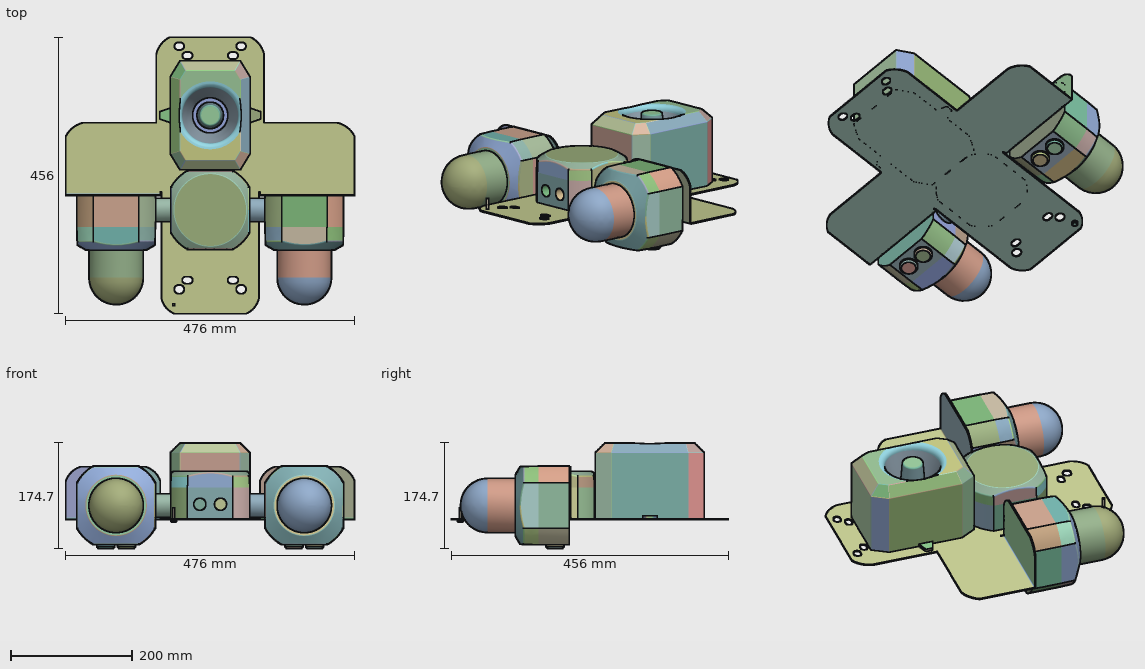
import cadquery as cq
import math


sheet = 2.0
plate_top_y = 285.0
plate_bottom_y = -171.0
upper_width = 178.0
lower_width = 161.0
wing_span = 476.0
wing_top_y = 144.0
corner_bulge = 4.0
upper_corner = (22.5, 28.0)
lower_corner = (21.5, 25.5)
wing_corner = (28.5, 22.5)
flange_corner = (24.5, 23.5)
flange_face_y = 23.5
flange_top_z = 87.5
bend_outer_radius = 3.5
bend_inner_radius = bend_outer_radius - sheet
relief_width = 1.5
relief_end_y = 30.0

mounting_slots = [
    (51.0, 270.0, 15.5, 12.0),
    (37.5, 254.5, 16.5, 11.0),
    (37.5, -115.5, 17.0, 11.0),
    (51.0, -130.5, 16.0, 14.0),
]

box_width = 130.0
box_corner_radius = 75.0
box_base_height = 51.0
lid_draft_inset = 1.0
lid_slope = math.tan(math.radians(30))
lid_edge_round = 3.0
junction_height = 78.0
junction_face_radius = 60.0
lamp_box_height = 89.5
lamp_face_radius = 50.0

entry_height = 23.5
entry_offset = 17.0
entry_diameter = 20.0
entry_depth = 20.0
gland_radius = 15.0
gland_tip_radius = 12.0
gland_rim = 3.0

lamp_x = 155.0
lamp_z = 23.5
dome_radius = 45.0
dome_neck = 45.0
tube_diameter = 39.0

horn_y = 156.0
horn_width = 131.5
horn_length = 180.0
horn_top_z = 126.5
horn_corner_x = 16.0
horn_corner_y = 26.5
horn_bevel = 16.0
horn_edge_round = 2.0
mouth_radius = 56.0
mouth_round = 10.0
throat_radius = 29.0
mouth_depth = 70.0
post_tip_radius = 17.2
post_root_radius = 22.0
post_round = 2.5
post_recess = 1.5
tab_reach = 83.5
tab_half_width = 12.0
tab_tip_half_width = 6.0
tab_tip_round = 3.0
tab_thickness = 4.5

screw_x = -60.0
screw_y = -156.0
screw_diameter = 4.0
screw_tip_z = 19.5
screw_head_diameter = 10.0
screw_head_height = 4.0
screw_head_chamfer = 1.5

total_height = 174.7
gland_height = total_height - horn_top_z - (box_width / 2 - lamp_z)


def corner_middle(start, end, bulge):
    """Middle of a corner arc that bulges to the left of the line from start to end."""
    run_x = end[0] - start[0]
    run_y = end[1] - start[1]
    chord = math.hypot(run_x, run_y)
    middle_x = (start[0] + end[0]) / 2 - run_y / chord * bulge
    middle_y = (start[1] + end[1]) / 2 + run_x / chord * bulge
    return (middle_x, middle_y)


def rounded_panel(width, bottom, top, corner, round_top):
    """Flat panel centred on X = 0 with two arc corners at its top or bottom end."""
    half = width / 2
    run_x, run_y = corner
    round_end, square_end = (top, bottom) if round_top else (bottom, top)
    inward = -1 if round_top else 1
    right_start = (half, round_end + inward * run_y)
    right_end = (half - run_x, round_end)
    left_start = (-right_end[0], right_end[1])
    left_end = (-right_start[0], right_start[1])
    bulge = corner_bulge * inward
    return (
        cq.Workplane("XY")
        .moveTo(half, square_end)
        .lineTo(*right_start)
        .threePointArc(corner_middle(right_start, right_end, bulge), right_end)
        .lineTo(*left_start)
        .threePointArc(corner_middle(left_start, left_end, bulge), left_end)
        .lineTo(-half, square_end)
        .close()
        .extrude(sheet)
    )


def make_plate():
    """Cross-shaped sheet with arc corners, slots and bend relief slits."""
    bend_y = flange_face_y + bend_outer_radius
    upper = rounded_panel(upper_width, bend_y, plate_top_y, upper_corner, True)
    lower = rounded_panel(lower_width, plate_bottom_y, wing_top_y, lower_corner, False)
    wings = rounded_panel(wing_span, bend_y, wing_top_y, wing_corner, True)
    plate = upper.union(lower).union(wings)
    for side in (-1, 1):
        slit = (
            cq.Workplane("XY")
            .box(relief_width, relief_end_y - flange_face_y, sheet, centered=(True, False, False))
            .translate((side * (lower_width + relief_width) / 2, flange_face_y, 0))
        )
        plate = plate.cut(slit)
        for half_spacing, y, length, width in mounting_slots:
            slot = cq.Workplane("XY").center(side * half_spacing, y).slot2D(length, width).extrude(sheet)
            plate = plate.cut(slot)
    return plate


def make_flange():
    """Right-hand upright flange with its bend."""
    inner_x = lower_width / 2 + relief_width
    length = wing_span / 2 - inner_x
    bend_y = flange_face_y + bend_outer_radius
    upright = (
        rounded_panel(length, bend_outer_radius, flange_top_z, flange_corner, True)
        .rotate((0, 0, 0), (1, 0, 0), 90)
        .translate((inner_x + length / 2, flange_face_y + sheet, 0))
    )
    diagonal = math.sqrt(0.5)
    outer_mid = (bend_y - bend_outer_radius * diagonal, bend_outer_radius * (1 - diagonal))
    inner_mid = (bend_y - bend_inner_radius * diagonal, bend_outer_radius - bend_inner_radius * diagonal)
    bend = (
        cq.Workplane("YZ")
        .moveTo(bend_y, 0)
        .threePointArc(outer_mid, (flange_face_y, bend_outer_radius))
        .lineTo(flange_face_y + sheet, bend_outer_radius)
        .threePointArc(inner_mid, (bend_y, sheet))
        .close()
        .extrude(length)
        .translate((inner_x, 0, 0))
    )
    return upright.union(bend)


def make_enclosure(height, face_radius):
    """Square box with round-cut corners on Z = 0, under a drafted, conical-topped lid."""
    base = (
        cq.Workplane("XY")
        .rect(box_width, box_width)
        .extrude(box_base_height)
        .intersect(cq.Workplane("XY").circle(box_corner_radius).extrude(box_base_height))
    )
    lid_height = height - box_base_height
    draft_slope = lid_draft_inset / lid_height
    cone_rise = box_corner_radius - lid_draft_inset - face_radius
    shoulder_drop = cone_rise * lid_slope / (1 - draft_slope * lid_slope)
    shoulder_radius = face_radius + shoulder_drop / lid_slope
    shoulder_z = height - shoulder_drop
    envelope = (
        cq.Workplane("XZ")
        .moveTo(0, box_base_height)
        .lineTo(box_corner_radius, box_base_height)
        .lineTo(shoulder_radius, shoulder_z)
        .lineTo(face_radius, height)
        .lineTo(0, height)
        .close()
        .revolve(360, (0, 0, 0), (0, 1, 0))
    )
    lid = (
        cq.Workplane("XY", origin=(0, 0, box_base_height))
        .rect(box_width, box_width)
        .extrude(lid_height, taper=math.degrees(math.atan(draft_slope)))
        .intersect(envelope)
    )
    middle_z = (box_base_height + shoulder_z) / 2
    cone_borders = lid.edges("not %LINE").filter(lambda edge: edge.BoundingBox().zmin > middle_z)
    return base.union(cone_borders.fillet(lid_edge_round))


def make_junction_box():
    """Central enclosure with two cable entries in its front wall."""
    box = make_enclosure(junction_height, junction_face_radius)
    for side in (-1, 1):
        entry = (
            cq.Workplane("XZ", origin=(side * entry_offset, -box_width / 2, entry_height))
            .circle(entry_diameter / 2)
            .extrude(-entry_depth)
        )
        box = box.cut(entry)
    return box.translate((0, 0, sheet))


def make_gland():
    """Cable plug hanging down from Z = 0."""
    return (
        cq.Workplane("XZ")
        .lineTo(gland_radius, 0)
        .lineTo(gland_radius, -gland_rim)
        .lineTo(gland_tip_radius, -gland_height)
        .lineTo(0, -gland_height)
        .close()
        .revolve(360, (0, 0, 0), (0, 1, 0))
    )


def make_lamp():
    """Enclosure facing -Y with a domed lamp on its lid and plugs underneath."""
    dome_start = lamp_box_height + dome_neck
    dome_mid = (dome_radius * math.sqrt(0.5), dome_start + dome_radius * math.sqrt(0.5))
    dome = (
        cq.Workplane("XZ")
        .moveTo(0, lamp_box_height)
        .lineTo(dome_radius, lamp_box_height)
        .lineTo(dome_radius, dome_start)
        .threePointArc(dome_mid, (0, dome_start + dome_radius))
        .close()
        .revolve(360, (0, 0, 0), (0, 1, 0))
    )
    lamp = make_enclosure(lamp_box_height, lamp_face_radius).union(dome)
    lamp = lamp.rotate((0, 0, 0), (1, 0, 0), 90)
    for side in (-1, 1):
        gland_place = (side * entry_offset, -entry_height, -box_width / 2)
        lamp = lamp.union(make_gland().translate(gland_place))
    return lamp.translate((0, flange_face_y, lamp_z))


def make_tube():
    """Tube joining the two lamp enclosures through the junction box."""
    length = 2 * lamp_x - box_width
    return (
        cq.Workplane("YZ", origin=(-length / 2, flange_face_y - entry_height, lamp_z))
        .circle(tube_diameter / 2)
        .extrude(length)
    )


def make_horn_body():
    """Bevelled block with long clipped corners."""
    half_x = horn_width / 2
    half_y = horn_length / 2
    flat_x = half_x - horn_corner_x
    flat_y = half_y - horn_corner_y
    outline = [
        (half_x, -flat_y),
        (half_x, flat_y),
        (flat_x, half_y),
        (-flat_x, half_y),
        (-half_x, flat_y),
        (-half_x, -flat_y),
        (-flat_x, -half_y),
        (flat_x, -half_y),
    ]
    body = cq.Workplane("XY").polyline(outline).close().extrude(horn_top_z - sheet)
    body = body.faces(">Z").edges().chamfer(horn_bevel)
    return body.edges("not <Z").fillet(horn_edge_round)


def make_horn_mouth():
    """Rounded, tapering recess, measured down from Z = 0."""
    cone_radius = mouth_radius - mouth_round
    diagonal = mouth_round * math.sqrt(0.5)
    return (
        cq.Workplane("XZ")
        .lineTo(mouth_radius, 0)
        .threePointArc((mouth_radius - diagonal, diagonal - mouth_round), (cone_radius, -mouth_round))
        .lineTo(throat_radius, -mouth_depth)
        .lineTo(0, -mouth_depth)
        .close()
        .revolve(360, (0, 0, 0), (0, 1, 0))
    )


def make_horn_post():
    """Tapered post standing in the mouth, measured down from Z = 0."""
    return (
        cq.Workplane("XZ")
        .moveTo(0, -mouth_depth)
        .lineTo(post_root_radius, -mouth_depth)
        .lineTo(post_tip_radius, -post_recess)
        .lineTo(0, -post_recess)
        .close()
        .revolve(360, (0, 0, 0), (0, 1, 0))
        .faces(">Z")
        .edges()
        .fillet(post_round)
    )


def make_horn_tabs():
    """Pair of tapered fixing tabs at the foot of the horn."""
    root_x = horn_width / 2
    outline = [
        (tab_reach, -tab_tip_half_width),
        (tab_reach, tab_tip_half_width),
        (root_x, tab_half_width),
        (-root_x, tab_half_width),
        (-tab_reach, tab_tip_half_width),
        (-tab_reach, -tab_tip_half_width),
        (-root_x, -tab_half_width),
        (root_x, -tab_half_width),
    ]
    return (
        cq.Workplane("XY")
        .polyline(outline)
        .close()
        .extrude(tab_thickness)
        .edges("|Z and (<X or >X)")
        .fillet(tab_tip_round)
    )


def make_horn():
    """Complete horn standing on the plate."""
    top = horn_top_z - sheet
    horn = make_horn_body().cut(make_horn_mouth().translate((0, 0, top)))
    horn = horn.union(make_horn_post().translate((0, 0, top))).union(make_horn_tabs())
    return horn.translate((0, horn_y, sheet))


def make_screw():
    """Earth screw with its head under the plate."""
    shank = (
        cq.Workplane("XY")
        .circle(screw_diameter / 2)
        .extrude(screw_tip_z)
    )
    head = (
        cq.Workplane("XY")
        .circle(screw_head_diameter / 2)
        .extrude(-screw_head_height)
        .faces("<Z")
        .edges()
        .chamfer(screw_head_chamfer)
    )
    return shank.union(head).translate((screw_x, screw_y, 0))


flange = make_flange()
lamp = make_lamp()
result = make_plate().union(flange).union(flange.mirror("YZ"))
result = result.union(make_junction_box()).union(make_tube())
for side in (-1, 1):
    result = result.union(lamp.translate((side * lamp_x, 0, 0)))
result = result.union(make_horn()).union(make_screw())